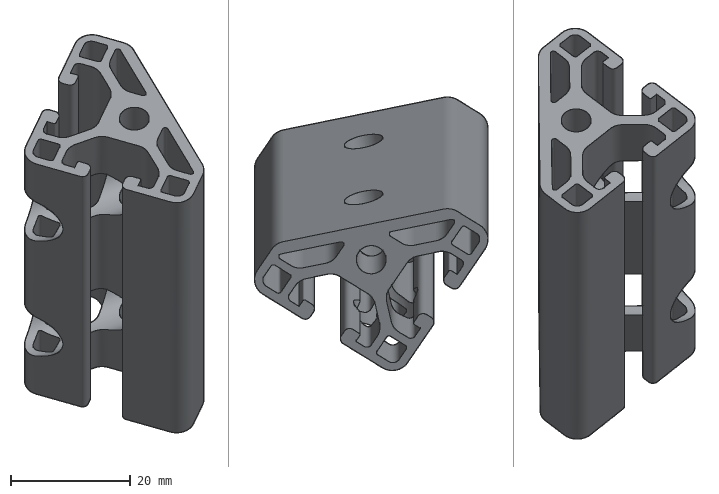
import cadquery as cq
import math

SIDE = 30.0
LENGTH = 60.0
MIDDLE = SIDE / 2
OUTER_RADIUS = 3.05
WALL = 1.5
BORE_DIAMETER = 5.0

SLOPE_SUM = 38.75
SLOPE_WALL = 2.05

SLOT_OPENING = 6.2
SLOT_DEPTH = 9.65
SLOT_INNER_WIDTH = 16.4
WEB = 2.0
LIP_WIDTH = 2.6
LIP_HEIGHT = 3.0
LIP_RADIUS = 0.3
MOUTH_RADIUS = 1.0
SLOT_BLEND_RADIUS = 3.0
SLOT_CORNER_RADIUS = 0.9

POCKET_SIZE = 3.9
POCKET_OUTER_RADIUS = 1.3
POCKET_INNER_RADIUS = 0.5

SIDE_POCKET_END = 20.2
SIDE_POCKET_BLEND_RADIUS = 2.9
SIDE_POCKET_TIP_RADIUS = 0.5

SCREW_HEIGHTS = (LENGTH / 4, LENGTH * 3 / 4)
SCREW_DIAMETER = 6.6
HEAD_DIAMETER = 11.0
HEAD_SEAT_DEPTH = 23.7

SLOT_SIDE = MIDDLE - SLOT_INNER_WIDTH / 2
WEB_OFFSET = WEB / math.sqrt(2)


def prism(points):
    """Extrude a closed outline over the full length."""
    return cq.Workplane("XY").polyline(points).close().extrude(LENGTH)


def round_edges(body, radius, points):
    """Round the lengthwise edges that pass through the given XY points."""
    for x, y in points:
        edge = cq.selectors.NearestToPointSelector((x, y, LENGTH / 2))
        body = body.edges("|Z").edges(edge).fillet(radius)
    return body


def swap_xy(body):
    """Mirror a body about the plane X = Y."""
    return body.mirror("XZ").rotate((0, 0, 0), (0, 0, 1), 90)


def make_blank():
    """Solid prism with one corner cut off by the sloping face."""
    far = SLOPE_SUM - SIDE
    corners = [(0, 0), (SIDE, 0), (SIDE, far), (far, SIDE), (0, SIDE)]
    return round_edges(prism(corners), OUTER_RADIUS, corners)


def make_lip(mouth_x):
    """Lip beside the slot mouth; mouth_x is the side, 0 or LIP_WIDTH, that faces the mouth."""
    lip = cq.Workplane("XY").box(LIP_WIDTH, LIP_HEIGHT, LENGTH, centered=False)
    lip = round_edges(lip, MOUTH_RADIUS, [(mouth_x, 0), (mouth_x, LIP_HEIGHT)])
    return round_edges(lip, LIP_RADIUS, [(LIP_WIDTH - mouth_x, LIP_HEIGHT)])


def make_slot():
    """Slot open to the -Y side, with a rounded lip on each side of its mouth."""
    right = SIDE - SLOT_SIDE
    low = SLOT_SIDE - WEB_OFFSET
    inner = SLOT_DEPTH + WEB_OFFSET
    bends = [(SLOT_SIDE, low), (inner, SLOT_DEPTH), (SIDE - inner, SLOT_DEPTH), (right, low)]
    corners = [(SLOT_SIDE, WALL), (right, WALL)]
    cavity = prism([corners[0]] + bends + [corners[1]])
    cavity = round_edges(cavity, SLOT_BLEND_RADIUS, bends)
    cavity = round_edges(cavity, SLOT_CORNER_RADIUS, corners)

    half_mouth = SLOT_OPENING / 2
    mouth_width = SLOT_OPENING + LIP_WIDTH
    mouth = cq.Workplane("XY").box(mouth_width, LIP_HEIGHT, LENGTH, centered=(True, False, False))
    slot = cavity.union(mouth.translate((MIDDLE, 0, 0)))
    left_lip = make_lip(LIP_WIDTH).translate((MIDDLE - half_mouth - LIP_WIDTH, 0, 0))
    right_lip = make_lip(0).translate((MIDDLE + half_mouth, 0, 0))
    return slot.cut(left_lip).cut(right_lip)


def make_corner_pocket():
    """Square pocket at the profile corner, with a larger radius towards that corner."""
    pocket = cq.Workplane("XY").box(POCKET_SIZE, POCKET_SIZE, LENGTH, centered=False)
    pocket = round_edges(pocket, POCKET_OUTER_RADIUS, [(0, 0)])
    others = [(POCKET_SIZE, 0), (POCKET_SIZE, POCKET_SIZE), (0, POCKET_SIZE)]
    pocket = round_edges(pocket, POCKET_INNER_RADIUS, others)
    return pocket.translate((WALL, WALL, 0))


def make_side_pocket():
    """Pocket between the sloping wall and the web of the slot in the -X side."""
    inner_sum = SIDE + WEB_OFFSET
    outer_sum = SLOPE_SUM - SLOPE_WALL * math.sqrt(2)
    bends = [(SLOT_SIDE, inner_sum - SLOT_SIDE), (inner_sum - SIDE_POCKET_END, SIDE_POCKET_END)]
    tips = [(outer_sum - SIDE_POCKET_END, SIDE_POCKET_END), (SLOT_SIDE, outer_sum - SLOT_SIDE)]
    pocket = prism(bends + tips)
    pocket = round_edges(pocket, SIDE_POCKET_BLEND_RADIUS, bends)
    return round_edges(pocket, SIDE_POCKET_TIP_RADIUS, tips)


def make_screw_hole(height):
    """Diagonal hole through the sloping face, with a counterbore from the profile corner."""
    axis = cq.Plane(origin=(0, 0, height), xDir=(0, 0, 1), normal=(1, 1, 0))
    hole = cq.Workplane(axis).circle(SCREW_DIAMETER / 2).extrude(SLOPE_SUM)
    head = cq.Workplane(axis).circle(HEAD_DIAMETER / 2).extrude(HEAD_SEAT_DEPTH)
    return hole.union(head)


bore = cq.Workplane("XY").center(MIDDLE, MIDDLE).circle(BORE_DIAMETER / 2).extrude(LENGTH)
body = make_blank().cut(bore)

slot = make_slot()
body = body.cut(slot).cut(swap_xy(slot))

corner_pocket = make_corner_pocket()
end_pocket = corner_pocket.mirror("YZ").translate((SIDE, 0, 0))
body = body.cut(corner_pocket).cut(end_pocket).cut(swap_xy(end_pocket))

side_pocket = make_side_pocket()
body = body.cut(side_pocket).cut(swap_xy(side_pocket))

for screw_height in SCREW_HEIGHTS:
    body = body.cut(make_screw_hole(screw_height))

result = body